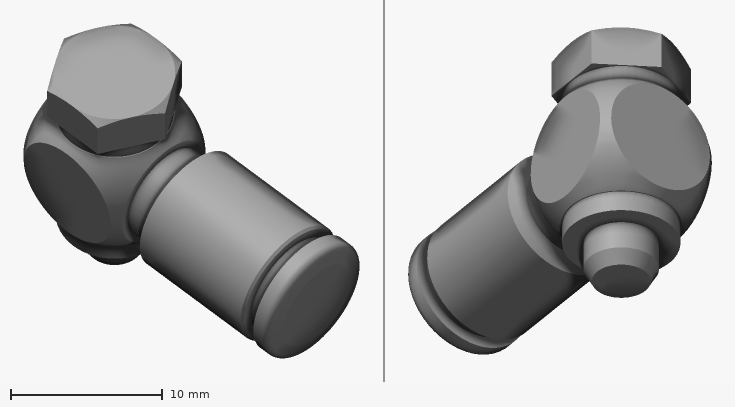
import cadquery as cq
import math


BLOCK_SIDE = 9.0
BLOCK_SPHERE_DIAMETER = 12.0
BLOCK_HALF = BLOCK_SIDE / 2

STEM_DIAMETER = 6.8
STEM_LENGTH = 1.5
SOCKET_DIAMETER = BLOCK_SIDE
SOCKET_LENGTH = 10.03
SHOULDER_LENGTH = 0.62
RIM_LENGTH = 0.2
RIM_DEPTH = 0.15
SOCKET_START = BLOCK_HALF + STEM_LENGTH
SOCKET_END = SOCKET_START + SOCKET_LENGTH

RING_DIAMETER = SOCKET_DIAMETER
RING_NECK_DIAMETER = 7.4
RING_NECK_LENGTH = 0.97
RING_BAND_LENGTH = 0.83
RING_NOSE_LENGTH = 0.67
RING_NOSE_DIAMETER = 6.4
RING_ROUND_LENGTH = 0.53
RING_ROUND_DEPTH = 0.49

WASHER_DIAMETER = 7.8
TOP_WASHER_THICKNESS = 1.0
BOTTOM_WASHER_THICKNESS = 1.5

SHANK_DIAMETER = 5.0
SHANK_PROJECTION = 3.0
TIP_LENGTH = 1.0
TIP_DIAMETER = 3.88
HEAD_ACROSS_FLATS = 8.0
HEAD_HEIGHT = 3.0
HEAD_CHAMFER_ANGLE = 30.0
HEAD_ACROSS_CORNERS = HEAD_ACROSS_FLATS / math.cos(math.pi / 6)
HEAD_BOTTOM = BLOCK_HALF + TOP_WASHER_THICKNESS
SHANK_BOTTOM = -BLOCK_HALF - BOTTOM_WASHER_THICKNESS - SHANK_PROJECTION


def cylinder_z(diameter, bottom, height):
    return cq.Workplane("XY").workplane(offset=bottom).circle(diameter / 2).extrude(height)


def revolve_about_x(profile):
    return profile.close().revolve(360, (0, 0, 0), (1, 0, 0))


def make_housing():
    """Spherically cornered block with a stem and socket along +X, bored for the bolt."""
    block = cq.Workplane("XY").box(BLOCK_SIDE, BLOCK_SIDE, BLOCK_SIDE)
    block = block.intersect(cq.Workplane("XY").sphere(BLOCK_SPHERE_DIAMETER / 2))
    stem_radius = STEM_DIAMETER / 2
    socket_radius = SOCKET_DIAMETER / 2
    socket = revolve_about_x(
        cq.Workplane("XZ")
        .moveTo(0, 0)
        .lineTo(0, stem_radius)
        .lineTo(SOCKET_START, stem_radius)
        .lineTo(SOCKET_START + SHOULDER_LENGTH, socket_radius)
        .lineTo(SOCKET_END - RIM_LENGTH, socket_radius)
        .lineTo(SOCKET_END, socket_radius - RIM_DEPTH)
        .lineTo(SOCKET_END, 0)
    )
    bolt_hole = cylinder_z(SHANK_DIAMETER, -BLOCK_HALF, BLOCK_SIDE)
    return block.union(socket).cut(bolt_hole)


def make_release_ring():
    """Necked flange with a rounded, slightly tapered nose, seated against the socket mouth."""
    neck_radius = RING_NECK_DIAMETER / 2
    band_radius = RING_DIAMETER / 2
    nose_radius = RING_NOSE_DIAMETER / 2
    band_start = SOCKET_END + RING_NECK_LENGTH
    band_end = band_start + RING_BAND_LENGTH
    nose_end = band_end + RING_NOSE_LENGTH
    return revolve_about_x(
        cq.Workplane("XZ")
        .moveTo(SOCKET_END, 0)
        .lineTo(SOCKET_END, neck_radius)
        .lineTo(band_start, neck_radius)
        .lineTo(band_start, band_radius)
        .lineTo(band_end, band_radius)
        .tangentArcPoint((RING_ROUND_LENGTH, -RING_ROUND_DEPTH), relative=True)
        .lineTo(nose_end, nose_radius)
        .lineTo(nose_end, 0)
    )


def make_washer(bottom, thickness):
    """Flat ring fitting around the bolt shank."""
    return cylinder_z(WASHER_DIAMETER, bottom, thickness).cut(cylinder_z(SHANK_DIAMETER, bottom, thickness))


def make_bolt_head():
    """Hexagon with corners on the X axis, its top edges cut by a cone."""
    head_base = cq.Workplane("XY").workplane(offset=HEAD_BOTTOM)
    hexagon = head_base.polygon(6, HEAD_ACROSS_CORNERS).extrude(HEAD_HEIGHT)
    top_radius = HEAD_ACROSS_FLATS / 2
    cone_radius = top_radius + HEAD_HEIGHT / math.tan(math.radians(HEAD_CHAMFER_ANGLE))
    cone = cq.Workplane(cq.Solid.makeCone(cone_radius, top_radius, HEAD_HEIGHT, cq.Vector(0, 0, HEAD_BOTTOM)))
    return hexagon.intersect(cone)


def make_bolt():
    """Hexagon-headed bolt through washers and block, with a tapered tip."""
    shank_start = SHANK_BOTTOM + TIP_LENGTH
    shank = cylinder_z(SHANK_DIAMETER, shank_start, HEAD_BOTTOM - shank_start)
    tip = cq.Workplane(
        cq.Solid.makeCone(TIP_DIAMETER / 2, SHANK_DIAMETER / 2, TIP_LENGTH, cq.Vector(0, 0, SHANK_BOTTOM))
    )
    return make_bolt_head().union(shank).union(tip)


housing = make_housing()
release_ring = make_release_ring()
bolt = make_bolt()

washer_places = [
    (BLOCK_HALF, TOP_WASHER_THICKNESS),
    (-BLOCK_HALF - BOTTOM_WASHER_THICKNESS, BOTTOM_WASHER_THICKNESS),
]
washers = [make_washer(bottom, thickness).val() for bottom, thickness in washer_places]

result = cq.Compound.makeCompound([housing.val(), release_ring.val(), bolt.val(), *washers])